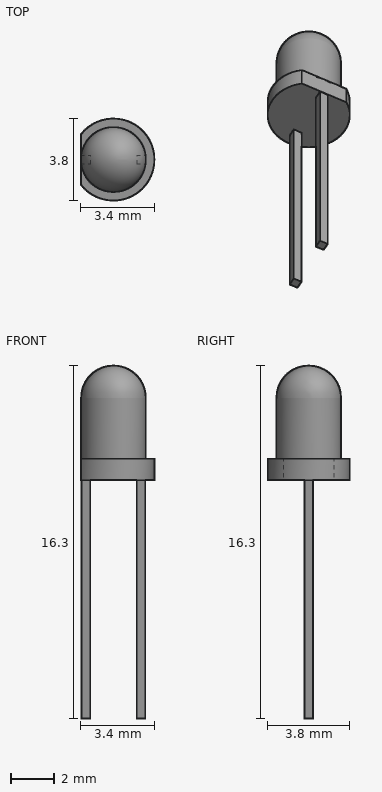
import cadquery as cq

total_height = 16.3
lens_diameter = 3.0
lens_radius = lens_diameter / 2

flange_diameter = 3.8
flange_height = 1.0
flat_x = -lens_radius

lead_length = 11.0
lead_width = 0.4
lead_pitch = 2.55

dome_top_z = total_height - lead_length
dome_base_z = dome_top_z - lens_radius


def make_housing():
    """Domed lens and flange, moulded as one piece."""
    flange = cq.Workplane("XY").circle(flange_diameter / 2).extrude(flange_height)
    flat_side = (
        cq.Workplane("XY")
        .box(flange_diameter, flange_diameter, flange_height, centered=(True, True, False))
        .translate((flat_x + flange_diameter / 2, 0, 0))
    )
    lens = cq.Workplane("XY").circle(lens_radius).extrude(dome_base_z)
    dome = (
        cq.Workplane("XZ")
        .moveTo(0, dome_base_z)
        .lineTo(lens_radius, dome_base_z)
        .radiusArc((0, dome_top_z), -lens_radius)
        .close()
        .revolve(360, (0, 0, 0), (0, 1, 0))
    )
    return flange.intersect(flat_side).union(lens).union(dome)


def make_lead(x):
    """Square lead hanging from the underside of the flange."""
    return (
        cq.Workplane("XY")
        .center(x, 0)
        .rect(lead_width, lead_width)
        .extrude(-lead_length)
    )


housing = make_housing()
leads = [make_lead(side * lead_pitch / 2) for side in (-1, 1)]

result = cq.Compound.makeCompound([housing.val(), *[lead.val() for lead in leads]])